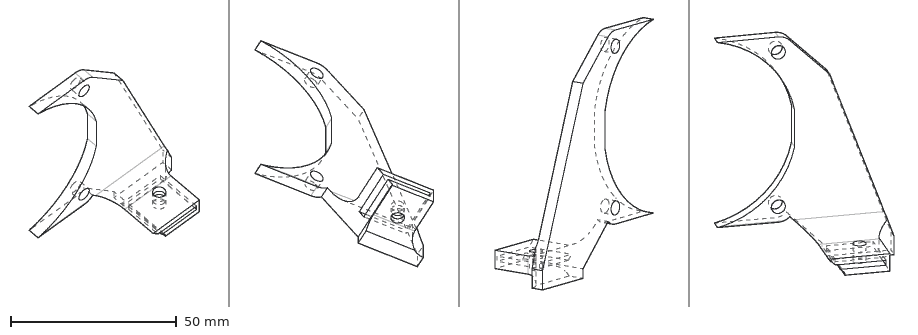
import cadquery as cq
import math

height = 73.9
flange_reach = 22.8
plate_thickness = 4.0

lug_radius = 5.0
lug_hole_diameter = 4.3
lug_y = -36.0
upper_lug_z = height - lug_radius
lower_lug_z = 18.9
notch_radius = 30.5
notch_half_height = 29.9
notch_y = -60.9
notch_z = (upper_lug_z + lower_lug_z) / 2

foot_width = 20.0
back_edge_height = 6.0
shoulder_z = 60.3

flange_bottom = 2.4
flange_top = 8.05
flange_back_inset = 6.05
fillet_radius = 6.2
flange_hole_diameter = 4.0
flange_hole_x = 12.4
flange_hole_y = -12.9

slot_start_x = 6.7
slot_bottom = 4.4
slot_height = 1.55
slot_half_width = flange_hole_x - slot_start_x


def outline_prism(length):
    """Plate outline in the YZ plane, extruded from X = 0 along +X."""
    diagonal = lug_radius * math.sqrt(0.5)
    slope_start_z = lower_lug_z - (-foot_width - lug_y)
    lug_arc_y = lug_radius * math.sin(math.pi / 8)
    lug_arc_z = lug_radius * math.cos(math.pi / 8)
    notch_offset = math.sqrt(notch_radius**2 - notch_half_height**2)
    notch_diagonal = notch_radius * math.sqrt(0.5)
    tip_y = notch_y + notch_offset
    flat_y = notch_y + notch_half_height
    notch_middle_y = notch_y + notch_diagonal
    return (
        cq.Workplane("YZ")
        .moveTo(0, 0)
        .lineTo(-foot_width, 0)
        .lineTo(-foot_width, slope_start_z)
        .lineTo(lug_y + diagonal, lower_lug_z - diagonal)
        .threePointArc((lug_y + lug_arc_y, lower_lug_z - lug_arc_z), (lug_y, lower_lug_z - lug_radius))
        .lineTo(tip_y, notch_z - notch_half_height)
        .threePointArc((notch_middle_y, notch_z - notch_diagonal), (flat_y, notch_z - notch_offset))
        .lineTo(flat_y, notch_z + notch_offset)
        .threePointArc((notch_middle_y, notch_z + notch_diagonal), (tip_y, notch_z + notch_half_height))
        .lineTo(lug_y, height)
        .threePointArc(
            (lug_y + lug_arc_y, upper_lug_z + lug_arc_z),
            (lug_y + diagonal, upper_lug_z + diagonal),
        )
        .lineTo(-foot_width, shoulder_z)
        .lineTo(0, back_edge_height)
        .close()
        .extrude(length)
    )


def make_plate():
    holes = (
        cq.Workplane("YZ")
        .pushPoints([(lug_y, lower_lug_z), (lug_y, upper_lug_z)])
        .circle(lug_hole_diameter / 2)
        .extrude(plate_thickness)
    )
    return outline_prism(plate_thickness).cut(holes)


def make_flange():
    """Flange flared into the plate above, below and behind, trimmed to the plate outline."""
    fillet_end_x = plate_thickness + fillet_radius
    arc_middle_x = fillet_end_x - fillet_radius * math.sqrt(0.5)
    arc_middle_rise = fillet_radius * (1 - math.sqrt(0.5))
    side_profile = (
        cq.Workplane("XZ")
        .moveTo(0, flange_bottom - fillet_radius)
        .lineTo(plate_thickness, flange_bottom - fillet_radius)
        .threePointArc((arc_middle_x, flange_bottom - arc_middle_rise), (fillet_end_x, flange_bottom))
        .lineTo(flange_reach, flange_bottom)
        .lineTo(flange_reach, flange_top)
        .lineTo(fillet_end_x, flange_top)
        .threePointArc(
            (arc_middle_x, flange_top + arc_middle_rise),
            (plate_thickness, flange_top + fillet_radius),
        )
        .lineTo(0, flange_top + fillet_radius)
        .close()
        .extrude(-notch_y)
    )
    plan_profile = (
        cq.Workplane("XY")
        .moveTo(0, fillet_radius - flange_back_inset)
        .lineTo(plate_thickness, fillet_radius - flange_back_inset)
        .threePointArc((arc_middle_x, arc_middle_rise - flange_back_inset), (fillet_end_x, -flange_back_inset))
        .lineTo(flange_reach, -flange_back_inset)
        .lineTo(flange_reach, notch_y)
        .lineTo(0, notch_y)
        .close()
        .extrude(height)
    )
    return outline_prism(flange_reach).intersect(side_profile).intersect(plan_profile)


def make_nut_slot():
    slot_back_y = flange_hole_y + slot_half_width
    return cq.Workplane("XY").box(
        flange_reach - slot_start_x, slot_back_y - notch_y, slot_height, centered=False
    ).translate((slot_start_x, notch_y, slot_bottom))


def make_flange_hole():
    return (
        cq.Workplane("XY")
        .center(flange_hole_x, flange_hole_y)
        .circle(flange_hole_diameter / 2)
        .extrude(height)
    )


result = make_plate().union(make_flange()).cut(make_nut_slot()).cut(make_flange_hole())